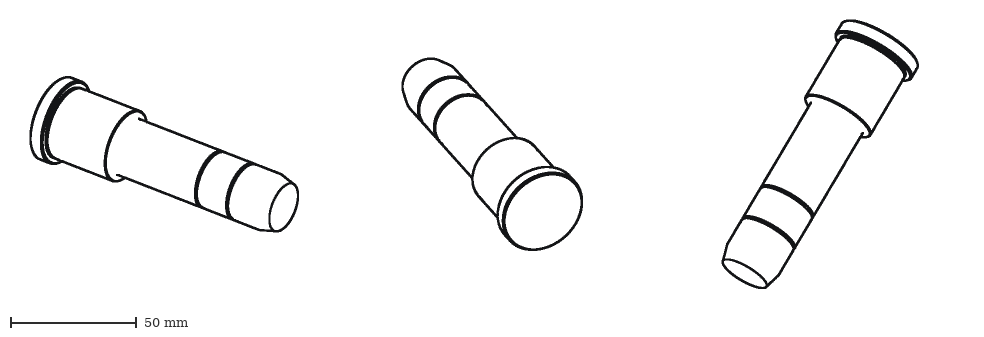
import cadquery as cq
import math

total_length = 111
head_radius = 35.0 / 2
body_radius = 30 / 2
shaft_radius = 24.0 / 2

head_thickness = 6.0
body_end = 35.0
taper_length = 7.0
taper_angle = 15

head_chamfer = 0.5
body_chamfer = 0.3
root_fillet = 0.5

groove_width = 1.0
groove_depth = 0.3
undercut_start = head_thickness
shaft_groove_starts = (76.3, 91.4)


def cylinder(start, end, radius):
    """Solid cylinder along X between two axial positions."""
    return cq.Workplane("YZ", origin=(start, 0, 0)).circle(radius).extrude(end - start)


def groove_cutter(start, surface_radius):
    """Ring with an arc-shaped floor, open just outside the given surface."""
    middle = start + groove_width / 2
    end = start + groove_width
    outer_radius = surface_radius + groove_depth
    profile = (
        cq.Workplane("XY")
        .moveTo(start, outer_radius)
        .lineTo(start, surface_radius)
        .threePointArc((middle, surface_radius - groove_depth), (end, surface_radius))
        .lineTo(end, outer_radius)
        .close()
    )
    return profile.revolve(360, (0, 0, 0), (1, 0, 0))


def shaft():
    """Guide shaft: root fillet at the body, straight length and tapered tip."""
    taper_start = total_length - taper_length
    tip_radius = shaft_radius - taper_length * math.tan(math.radians(taper_angle))
    fillet_offset = root_fillet * (1 - math.sqrt(0.5))
    profile = (
        cq.Workplane("XY")
        .moveTo(body_end, 0)
        .lineTo(body_end, shaft_radius + root_fillet)
        .threePointArc(
            (body_end + fillet_offset, shaft_radius + fillet_offset),
            (body_end + root_fillet, shaft_radius),
        )
        .lineTo(taper_start, shaft_radius)
        .lineTo(total_length, tip_radius)
        .lineTo(total_length, 0)
        .close()
    )
    return profile.revolve(360, (0, 0, 0), (1, 0, 0))


head = cylinder(0, head_thickness, head_radius).edges().chamfer(head_chamfer)
body = cylinder(head_thickness, body_end, body_radius).faces(">X").edges().chamfer(body_chamfer)

result = head.union(body).union(shaft())

result = result.cut(groove_cutter(undercut_start, body_radius))
for groove_start in shaft_groove_starts:
    result = result.cut(groove_cutter(groove_start, shaft_radius))